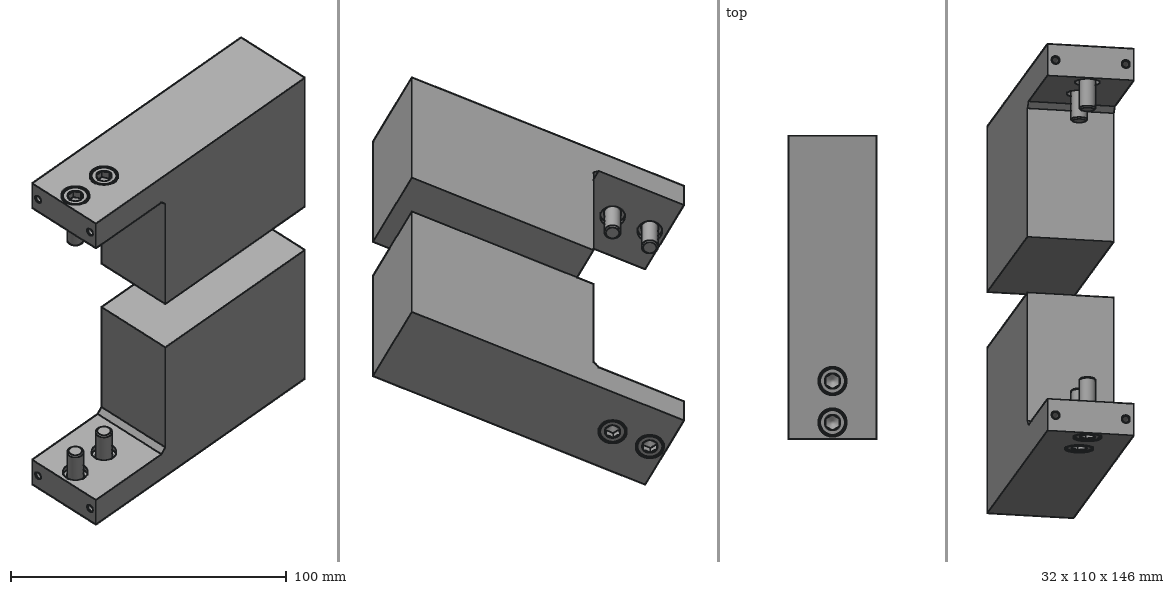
import cadquery as cq
import math

CONE_SLOPE = 30

WIDTH = 32.0
LENGTH = 110.0
HEIGHT = 146.0

BLOCK_HEIGHT = 62.5
ARM_THICKNESS = 12.0
ARM_LENGTH = 36.5
CORNER_CHAMFER = 2.0

SCREW_INSET = 6.0
SCREW_SPACING = 15.0
SCREW_PLACES = [SCREW_INSET, SCREW_INSET + SCREW_SPACING]

COUNTERBORE_DIAMETER = 10.4
COUNTERBORE_DEPTH = 6.1
CLEARANCE_DIAMETER = 6.4
RELIEF_DIAMETER = 9.0
RELIEF_DEPTH = 2.0

HEAD_DIAMETER = 10.0
HEAD_HEIGHT = 6.0
HEAD_CHAMFER = 0.51
SHANK_DIAMETER = 6.0
SHANK_PROJECTION = 10.2
SHANK_CHAMFER = 0.6
HEAD_RECESS = COUNTERBORE_DEPTH - HEAD_HEIGHT
SCREW_LENGTH = ARM_THICKNESS + SHANK_PROJECTION - HEAD_RECESS

SOCKET_WIDTH = 5.0
SOCKET_CORNERS = SOCKET_WIDTH / math.cos(math.pi / 6)
SOCKET_DEPTH = 2.9
SOCKET_CONE_DEPTH = SOCKET_CORNERS / 2 * math.tan(math.radians(CONE_SLOPE))

END_HOLE_DIAMETER = 2.5
END_HOLE_MOUTH_DIAMETER = 3.0
END_HOLE_DEPTH = 8.0
END_HOLE_SPACING = 26.0
END_HOLE_CONE_DEPTH = END_HOLE_DIAMETER / 2 * math.tan(math.radians(CONE_SLOPE))


def revolve_profile(points):
    """Turn (radius, height) points around the Z axis."""
    return cq.Workplane("XZ").polyline(points).close().revolve(360, (0, 0), (0, 1))


def make_screw_hole():
    """Cutter for a through hole: counterbore on the outer face, shallow relief on the inner face."""
    counterbore_radius = COUNTERBORE_DIAMETER / 2
    clearance_radius = CLEARANCE_DIAMETER / 2
    relief_radius = RELIEF_DIAMETER / 2
    relief_floor = ARM_THICKNESS - RELIEF_DEPTH
    return revolve_profile([
        (0, 0),
        (counterbore_radius, 0),
        (counterbore_radius, COUNTERBORE_DEPTH),
        (clearance_radius, COUNTERBORE_DEPTH),
        (clearance_radius, relief_floor),
        (relief_radius, relief_floor),
        (relief_radius, ARM_THICKNESS),
        (0, ARM_THICKNESS),
    ])


def make_end_hole():
    """Cutter for a countersunk blind hole, opening at z = 0 and going down."""
    radius = END_HOLE_DIAMETER / 2
    mouth_radius = END_HOLE_MOUTH_DIAMETER / 2
    return revolve_profile([
        (0, 0),
        (mouth_radius, 0),
        (radius, radius - mouth_radius),
        (radius, -END_HOLE_DEPTH),
        (0, -END_HOLE_DEPTH - END_HOLE_CONE_DEPTH),
    ])


def make_bracket():
    """Lower bracket: outer face on z = 0, free end of the arm at y = 0."""
    bracket = (
        cq.Workplane("YZ")
        .moveTo(0, 0)
        .lineTo(LENGTH, 0)
        .lineTo(LENGTH, BLOCK_HEIGHT)
        .lineTo(ARM_LENGTH, BLOCK_HEIGHT)
        .lineTo(ARM_LENGTH, ARM_THICKNESS + CORNER_CHAMFER)
        .lineTo(ARM_LENGTH - CORNER_CHAMFER, ARM_THICKNESS)
        .lineTo(0, ARM_THICKNESS)
        .close()
        .extrude(WIDTH / 2, both=True)
    )

    screw_hole = make_screw_hole()
    for y in SCREW_PLACES:
        bracket = bracket.cut(screw_hole.translate((0, y, 0)))

    end_hole = make_end_hole().rotate((0, 0, 0), (1, 0, 0), 90)
    for side in (-1, 1):
        place = (side * END_HOLE_SPACING / 2, 0, ARM_THICKNESS / 2)
        bracket = bracket.cut(end_hole.translate(place))
    return bracket


def make_socket():
    """Cutter for the hexagonal socket, opening at z = 0 and going up."""
    hexagon = (
        cq.Workplane("XY")
        .polygon(6, SOCKET_CORNERS)
        .extrude(SOCKET_DEPTH + SOCKET_CONE_DEPTH)
        .rotate((0, 0, 0), (0, 0, 1), 90)
    )
    corner_radius = SOCKET_CORNERS / 2
    bottom_limit = revolve_profile([
        (0, 0),
        (corner_radius, 0),
        (corner_radius, SOCKET_DEPTH),
        (0, SOCKET_DEPTH + SOCKET_CONE_DEPTH),
    ])
    mouth = revolve_profile([(0, 0), (corner_radius, 0), (0, corner_radius)])
    return hexagon.intersect(bottom_limit).union(mouth)


def make_screw():
    """Socket head screw standing on its head at z = 0, tip pointing up."""
    head_radius = HEAD_DIAMETER / 2
    shank_radius = SHANK_DIAMETER / 2
    screw = revolve_profile([
        (0, 0),
        (head_radius - HEAD_CHAMFER, 0),
        (head_radius, HEAD_CHAMFER),
        (head_radius, HEAD_HEIGHT),
        (shank_radius, HEAD_HEIGHT),
        (shank_radius, SCREW_LENGTH - SHANK_CHAMFER),
        (shank_radius - SHANK_CHAMFER, SCREW_LENGTH),
        (0, SCREW_LENGTH),
    ])
    return screw.cut(make_socket())


def mirror_to_top(body):
    """Matching body on the upper side of the gap."""
    return body.mirror("XY", (0, 0, HEIGHT / 2))


lower_bracket = make_bracket()
brackets = [lower_bracket, mirror_to_top(lower_bracket)]

screws = []
for y in SCREW_PLACES:
    lower_screw = make_screw().translate((0, y, HEAD_RECESS))
    screws.append(lower_screw)
    screws.append(mirror_to_top(lower_screw))

result = cq.Compound.makeCompound([body.val() for body in brackets + screws])